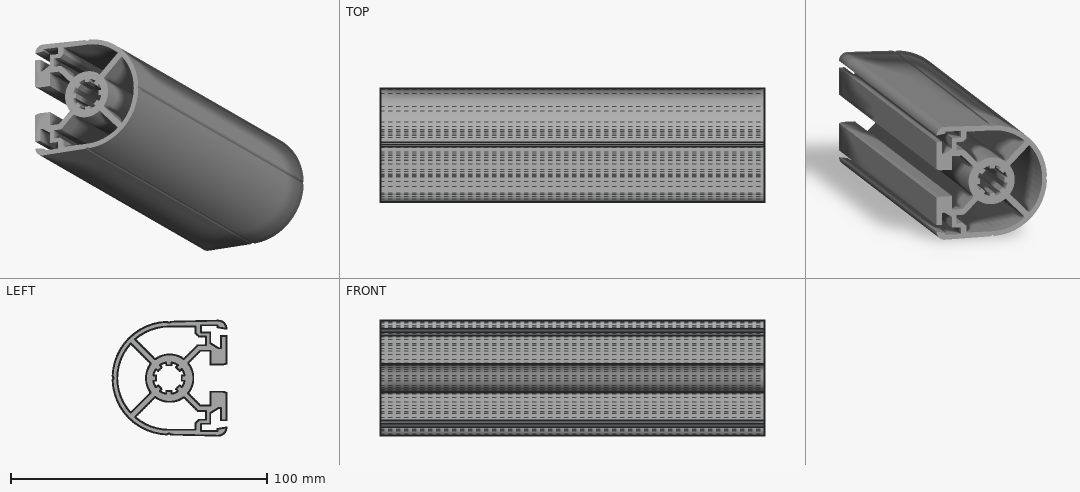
import cadquery as cq
import math

LENGTH = 150.0
FRONT_Y = -22.5
HALF_HEIGHT = 22.5
WALL = 2.2

BACK_RADIUS = 22.0
BACK_INNER_RADIUS = 20.1
CORNER_RADIUS = 3.3
LIP_BACK_Y = -18.9
LIP_BACK_Z = 19.8
POCKET_ROOF_Z = 20.5

HUB_RADIUS = 9.3
HUB_Y = -0.3
BACK_SPOKE_THICKNESS = 2.4
SPOKE_ANGLE = 45
BORE_RADIUS = 6.2
TOOTH_TIP_RADIUS = 5.0
TOOTH_WIDTH = 2.1
TOOTH_COUNT = 8

WEB_REAR_Y = -10.4
WEB_CHAMFER = 1.4
STEP_TOP_Z = 17.8
STEP_UNDERSIDE_Z = 16.2
STEP_REAR_Y = -14.4
ARM_TOP_Z = 12.9

FLANGE_REAR_Y = -16.2
FLANGE_TOP_Z = 16.5
FLANGE_THICKNESS = 2.2
NOTCH_REAR_Z = 13.6
NOTCH_FLOOR_Z = 11.7
NOTCH_FLOOR_Y = -19.4
MOUTH_HALF_WIDTH = 5.2
MOUTH_CHAMFER_DEPTH = 1.4
MOUTH_CHAMFER_HEIGHT = 0.5

GROOVE_HALF_WIDTH = 0.9
GROOVE_DEPTH = 0.5

DIAGONAL_COMPONENT = math.sqrt(0.5)
WEB_FRONT_Y = WEB_REAR_Y - WALL
WALL_START_RADIUS = (HUB_RADIUS + BORE_RADIUS) / 2


def section():
    return cq.Workplane("YZ")


def extruded_polygon(points):
    return section().polyline(points).close().extrude(LENGTH)


def half_skin():
    """Upper half of the outer wall, from the back to the front lip."""
    corner_y = FRONT_Y + CORNER_RADIUS
    corner_z = HALF_HEIGHT - CORNER_RADIUS
    corner_middle = (
        corner_y - CORNER_RADIUS * DIAGONAL_COMPONENT,
        corner_z + CORNER_RADIUS * DIAGONAL_COMPONENT,
    )
    outer_middle = (BACK_RADIUS * DIAGONAL_COMPONENT, BACK_RADIUS * DIAGONAL_COMPONENT)
    inner_middle = (BACK_INNER_RADIUS * DIAGONAL_COMPONENT, BACK_INNER_RADIUS * DIAGONAL_COMPONENT)
    return (
        section()
        .moveTo(BACK_RADIUS, 0)
        .threePointArc(outer_middle, (0, BACK_RADIUS))
        .lineTo(corner_y, HALF_HEIGHT)
        .threePointArc(corner_middle, (FRONT_Y, corner_z))
        .lineTo(LIP_BACK_Y, LIP_BACK_Z)
        .lineTo(LIP_BACK_Y, POCKET_ROOF_Z)
        .lineTo(WEB_FRONT_Y, POCKET_ROOF_Z)
        .lineTo(WEB_FRONT_Y, BACK_INNER_RADIUS)
        .lineTo(0, BACK_INNER_RADIUS)
        .threePointArc(inner_middle, (BACK_INNER_RADIUS, 0))
        .close()
        .extrude(LENGTH)
    )


def back_spoke():
    """Diagonal wall from the hub to the round back."""
    wall_middle_radius = (BACK_RADIUS + BACK_INNER_RADIUS) / 2
    spoke_length = wall_middle_radius - WALL_START_RADIUS
    spoke = (
        section()
        .center((wall_middle_radius + WALL_START_RADIUS) / 2, 0)
        .rect(spoke_length, BACK_SPOKE_THICKNESS)
        .extrude(LENGTH)
    )
    return spoke.rotate((0, 0, 0), (1, 0, 0), SPOKE_ANGLE).translate((0, HUB_Y, 0))


def front_arm():
    """Diagonal wall from the hub that bends forwards to the flange."""
    diagonal_offset = WALL * DIAGONAL_COMPONENT
    start = WALL_START_RADIUS * DIAGONAL_COMPONENT
    half_offset = diagonal_offset / 2
    arm_bottom_z = ARM_TOP_Z - WALL
    return extruded_polygon([
        (-start + half_offset, start + half_offset),
        (diagonal_offset - ARM_TOP_Z, ARM_TOP_Z),
        (FLANGE_REAR_Y, ARM_TOP_Z),
        (FLANGE_REAR_Y, arm_bottom_z),
        (-arm_bottom_z - diagonal_offset, arm_bottom_z),
        (-start - half_offset, start - half_offset),
    ])


def stepped_web():
    """Web that hangs from the skin and steps forwards and down onto the front arm."""
    return extruded_polygon([
        (WEB_REAR_Y, POCKET_ROOF_Z),
        (WEB_FRONT_Y, POCKET_ROOF_Z),
        (WEB_FRONT_Y, STEP_TOP_Z),
        (FLANGE_REAR_Y, STEP_TOP_Z),
        (FLANGE_REAR_Y, ARM_TOP_Z),
        (STEP_REAR_Y, ARM_TOP_Z),
        (STEP_REAR_Y, STEP_UNDERSIDE_Z),
        (WEB_REAR_Y - WEB_CHAMFER, STEP_UNDERSIDE_Z),
        (WEB_REAR_Y, STEP_UNDERSIDE_Z + WEB_CHAMFER),
    ])


def slot_flange():
    """Thick flange beside the slot mouth, with a thin upstand along the front face."""
    upstand_rear_y = FRONT_Y + FLANGE_THICKNESS
    return extruded_polygon([
        (FLANGE_REAR_Y, MOUTH_HALF_WIDTH),
        (FRONT_Y + MOUTH_CHAMFER_DEPTH, MOUTH_HALF_WIDTH),
        (FRONT_Y, MOUTH_HALF_WIDTH + MOUTH_CHAMFER_HEIGHT),
        (FRONT_Y, FLANGE_TOP_Z),
        (upstand_rear_y, FLANGE_TOP_Z),
        (upstand_rear_y, NOTCH_FLOOR_Z),
        (NOTCH_FLOOR_Y, NOTCH_FLOOR_Z),
        (FLANGE_REAR_Y, NOTCH_REAR_Z),
    ])


def toothed_bore():
    """Bore through the hub, with evenly spaced teeth left standing inwards."""
    bore = section().circle(BORE_RADIUS).extrude(LENGTH)
    tooth_height = HUB_RADIUS - TOOTH_TIP_RADIUS
    tooth = (
        section()
        .center(TOOTH_TIP_RADIUS + tooth_height / 2, 0)
        .rect(tooth_height, TOOTH_WIDTH)
        .extrude(LENGTH)
    )
    for index in range(TOOTH_COUNT):
        bore = bore.cut(tooth.rotate((0, 0, 0), (1, 0, 0), index * 360 / TOOTH_COUNT))
    return bore


def outer_groove(angle):
    """V groove in the round back, at an angle measured from +Y towards +Z."""
    groove = extruded_polygon([
        (BACK_RADIUS - GROOVE_DEPTH, 0),
        (BACK_RADIUS + GROOVE_DEPTH, 2 * GROOVE_HALF_WIDTH),
        (BACK_RADIUS + GROOVE_DEPTH, -2 * GROOVE_HALF_WIDTH),
    ])
    return groove.rotate((0, 0, 0), (1, 0, 0), angle)


upper_half = half_skin()
for wall in (back_spoke(), front_arm(), stepped_web(), slot_flange()):
    upper_half = upper_half.union(wall)

hub = section().center(HUB_Y, 0).circle(HUB_RADIUS).extrude(LENGTH)
result = upper_half.union(upper_half.mirror("XY")).union(hub).cut(toothed_bore())
for groove_angle in (-90, 0, 90):
    result = result.cut(outer_groove(groove_angle))
result = result.clean()